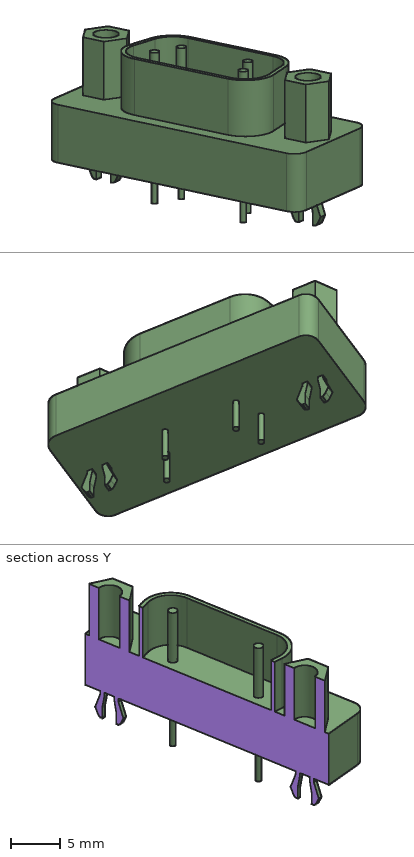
import cadquery as cq
import math

body_length = 31.2
body_width = 12.5
body_height = 6.2
body_corner_radius = 1.47

post_spacing = 25.02
post_across_flats = 4.5
post_height = 6.2
post_hole_diameter = 2.62

shell_height = 6.0
shell_width = 9.3
shell_wall = 0.5
shell_corner_radius = 3.15
shell_side_angle = 10
wide_corner_x = 5.77

pin_pitch = 2.75
pin_row_y = 1.4
pin_centre_x = -0.03
contact_diameter = 1.0
contact_height = 6.0
tail_diameter = 0.62
tail_length = 4.0

clip_thickness = 0.87
clip_length = 3.18
leg_root_inner = 0.6
leg_root_outer = 1.2
leg_root_length = 0.35
leg_tip_inner = 0.87
leg_inner_bend_depth = 1.87
barb_reach = 1.85
barb_depth = 2.12
tip_round_start = (1.53, 2.78)
tip_round_middle = (1.37, 3.03)
tip_outer = 1.15


def make_body():
    return (
        cq.Workplane("XY")
        .box(body_length, body_width, body_height, centered=(True, True, False))
        .translate((0, 0, -body_height))
        .edges("|Z")
        .fillet(body_corner_radius)
    )


def make_post(x):
    across_corners = post_across_flats / math.cos(math.radians(30))
    return (
        cq.Workplane("XY")
        .center(x, 0)
        .polygon(6, across_corners)
        .circle(post_hole_diameter / 2)
        .extrude(post_height)
    )


def rounded_d(radius, height):
    """Rounded D prism; all radii share the same four corner centres."""
    centre_y = shell_width / 2 - shell_corner_radius
    slope = math.radians(shell_side_angle)
    narrow_corner_x = wide_corner_x - 2 * centre_y * math.tan(slope)
    return (
        cq.Workplane("XY")
        .polyline([
            (-wide_corner_x, -centre_y),
            (wide_corner_x, -centre_y),
            (narrow_corner_x, centre_y),
            (-narrow_corner_x, centre_y),
        ])
        .close()
        .offset2D(radius, "arc")
        .extrude(height)
    )


def make_shell():
    outside = rounded_d(shell_corner_radius, shell_height)
    inside = rounded_d(shell_corner_radius - shell_wall, shell_height)
    return outside.cut(inside)


def make_pin(x, y):
    base = cq.Workplane("XY").center(x, y)
    contact = base.circle(contact_diameter / 2).extrude(contact_height)
    tail = base.circle(tail_diameter / 2).extrude(-body_height - tail_length)
    return contact.union(tail)


def make_clip_leg(x, side):
    def point(reach, depth):
        return (x + side * reach, -body_height - depth)

    return (
        cq.Workplane("XZ")
        .moveTo(*point(leg_root_inner, 0))
        .lineTo(*point(leg_root_outer, 0))
        .lineTo(*point(leg_root_outer, leg_root_length))
        .lineTo(*point(barb_reach, barb_depth))
        .lineTo(*point(*tip_round_start))
        .threePointArc(point(*tip_round_middle), point(tip_outer, clip_length))
        .lineTo(*point(leg_tip_inner, clip_length))
        .lineTo(*point(leg_tip_inner, leg_inner_bend_depth))
        .lineTo(*point(leg_root_inner, leg_root_length))
        .close()
        .extrude(clip_thickness / 2, both=True)
    )


result = make_body().union(make_shell())

for end in (-1, 1):
    post_x = end * post_spacing / 2
    result = result.union(make_post(post_x))
    for leg_side in (-1, 1):
        result = result.union(make_clip_leg(post_x, leg_side))
    result = result.union(make_pin(pin_centre_x + end * 2 * pin_pitch, -pin_row_y))
    result = result.union(make_pin(pin_centre_x + end * 1.5 * pin_pitch, pin_row_y))